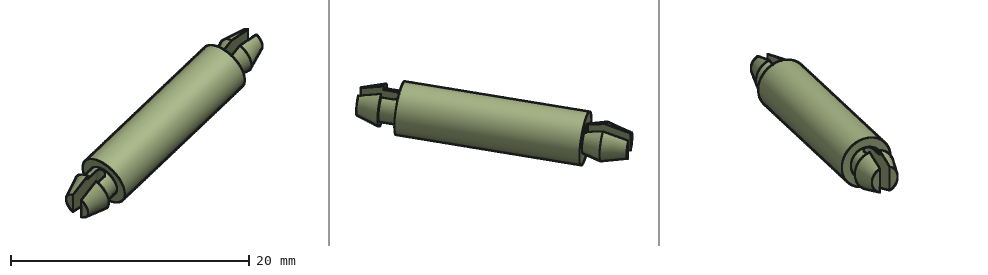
import cadquery as cq

total_length = 23.25
body_diameter = 4.58
body_radius = body_diameter / 2

front_plug_length = 3.53
front_barb_length = 1.98
front_tip_radius = 1.2
front_barb_radius = 1.84
front_neck_radius = 1.45
front_slot_width = 0.9
front_slot_depth = 3.46

back_plug_length = 3.79
back_tip_length = 2.18
back_tip_radius = 1.12
back_barb_radius = 1.7
back_root_radius = 1.28
back_slot_width = 0.88
back_slot_depth = 3.65

front_end = -total_length / 2
back_end = total_length / 2
front_shoulder = front_end + front_barb_length
body_front = front_end + front_plug_length
body_back = back_end - back_plug_length
back_widest = back_end - back_tip_length


def turned_spacer():
    """Body and both plugs, revolved as one profile about the Y axis."""
    profile = [
        (0, front_end),
        (front_tip_radius, front_end),
        (front_barb_radius, front_shoulder),
        (front_neck_radius, front_shoulder),
        (front_neck_radius, body_front),
        (body_radius, body_front),
        (body_radius, body_back),
        (back_root_radius, body_back),
        (back_barb_radius, back_widest),
        (back_tip_radius, back_end),
        (0, back_end),
    ]
    return cq.Workplane("XY").polyline(profile).close().revolve(360, (0, 0, 0), (0, 1, 0))


def front_slot():
    """Round-bottomed slot that splits the front plug through Z."""
    half_width = front_slot_width / 2
    slot_bottom = front_end + front_slot_depth
    arc_start = slot_bottom - half_width
    return (
        cq.Workplane("XY")
        .moveTo(-half_width, front_end)
        .lineTo(-half_width, arc_start)
        .threePointArc((0, slot_bottom), (half_width, arc_start))
        .lineTo(half_width, front_end)
        .close()
        .extrude(body_radius, both=True)
    )


def back_slot():
    """Flat-bottomed slot that splits the back plug through Z."""
    return (
        cq.Workplane("XY")
        .center(0, back_end - back_slot_depth / 2)
        .rect(back_slot_width, back_slot_depth)
        .extrude(body_radius, both=True)
    )


result = turned_spacer().cut(front_slot()).cut(back_slot())